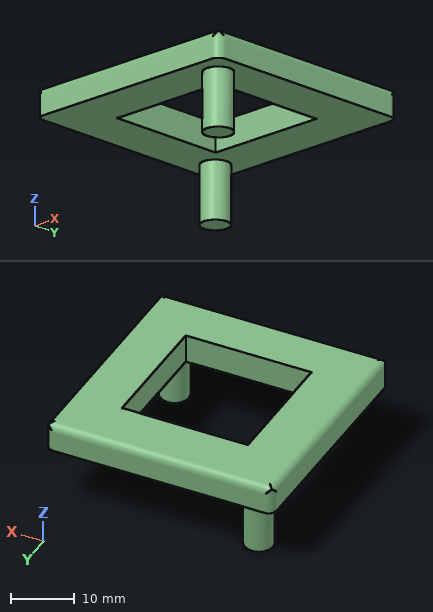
import cadquery as cq

plate_side = 40.0
plate_thickness = 5.0
edge_radius = 1.5
window_side = 22.0

post_diameter = 5.0
post_length = 10.0
post_inset = 5.0
post_offset = plate_side / 2 - post_inset


def make_slab():
    """Plain square slab with its underside on Z = 0."""
    return cq.Workplane("XY").box(
        plate_side, plate_side, plate_thickness, centered=(True, True, False)
    )


def make_plate():
    """Plate with a square window, its rounded edges meeting in mitred corners."""
    plate = make_slab().edges("|Z").fillet(edge_radius)
    for top_edges in ("|X and >Z", "|Y and >Z"):
        plate = plate.intersect(make_slab().edges(top_edges).fillet(edge_radius))
    window = cq.Workplane("XY").rect(window_side, window_side).extrude(plate_thickness)
    return plate.cut(window)


def make_posts():
    """Two posts on one diagonal, hanging from the underside of the plate."""
    centres = [(-post_offset, post_offset), (post_offset, -post_offset)]
    return (
        cq.Workplane("XY")
        .pushPoints(centres)
        .circle(post_diameter / 2)
        .extrude(-post_length)
    )


result = make_plate().union(make_posts())